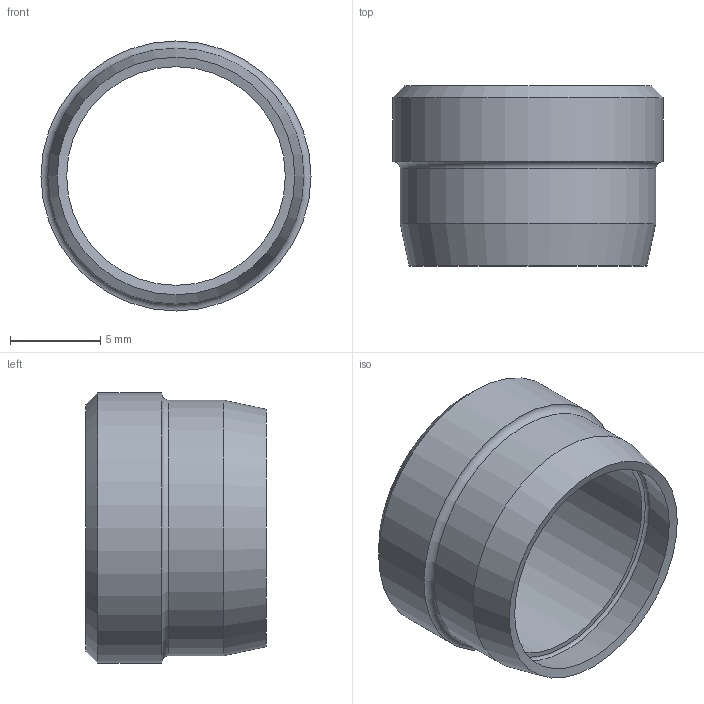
import cadquery as cq
import math

LENGTH = 10.0
COLLAR_RADIUS = 7.5
BODY_RADIUS = 7.1
NOSE_TIP_RADIUS = 6.6
BORE_RADIUS = 6.075
TAPER_ANGLE = math.radians(12.0)
TIP_DISH = 0.1

COLLAR_LENGTH = 4.2
COLLAR_CHAMFER = 0.65
SHOULDER_FILLET = COLLAR_RADIUS - BODY_RADIUS

RELIEF_DEPTH = 2.25
RELIEF_FILLET = 0.15

collar_start = LENGTH - COLLAR_LENGTH
nose_length = (BODY_RADIUS - NOSE_TIP_RADIUS) / math.tan(TAPER_ANGLE)


def arc_middle(center, radius, start_angle, end_angle):
    """Point halfway along an arc around center; angles are measured from the radial axis toward +Y."""
    angle = (start_angle + end_angle) / 2
    return (center[0] + radius * math.cos(angle), center[1] + radius * math.sin(angle))


def make_ring_blank():
    """Collar, body and tapered nose around a plain bore; profile points are (radius, Y)."""
    shoulder_center = (COLLAR_RADIUS, collar_start - SHOULDER_FILLET)
    shoulder_middle = arc_middle(shoulder_center, SHOULDER_FILLET, math.pi, math.pi / 2)
    profile = (
        cq.Workplane("XY")
        .moveTo(BORE_RADIUS, TIP_DISH)
        .lineTo(NOSE_TIP_RADIUS, 0)
        .lineTo(BODY_RADIUS, nose_length)
        .lineTo(BODY_RADIUS, collar_start - SHOULDER_FILLET)
        .threePointArc(shoulder_middle, (COLLAR_RADIUS, collar_start))
        .lineTo(COLLAR_RADIUS, LENGTH - COLLAR_CHAMFER)
        .lineTo(COLLAR_RADIUS - COLLAR_CHAMFER, LENGTH)
        .lineTo(BORE_RADIUS, LENGTH)
        .close()
    )
    return profile.revolve(360, (0, 0, 0), (0, 1, 0))


def make_relief():
    """Conical relief that widens inward from the nose tip and rounds into a flat end wall."""
    center_y = RELIEF_DEPTH - RELIEF_FILLET
    cone_radius = BORE_RADIUS + (center_y - TIP_DISH) * math.tan(TAPER_ANGLE)
    center = (cone_radius - RELIEF_FILLET / math.cos(TAPER_ANGLE), center_y)
    tangent_point = (
        center[0] + RELIEF_FILLET * math.cos(TAPER_ANGLE),
        center[1] - RELIEF_FILLET * math.sin(TAPER_ANGLE),
    )
    fillet_middle = arc_middle(center, RELIEF_FILLET, -TAPER_ANGLE, math.pi / 2)
    profile = (
        cq.Workplane("XY")
        .moveTo(0, TIP_DISH)
        .lineTo(BORE_RADIUS, TIP_DISH)
        .lineTo(*tangent_point)
        .threePointArc(fillet_middle, (center[0], RELIEF_DEPTH))
        .lineTo(0, RELIEF_DEPTH)
        .close()
    )
    return profile.revolve(360, (0, 0, 0), (0, 1, 0))


result = make_ring_blank().cut(make_relief())